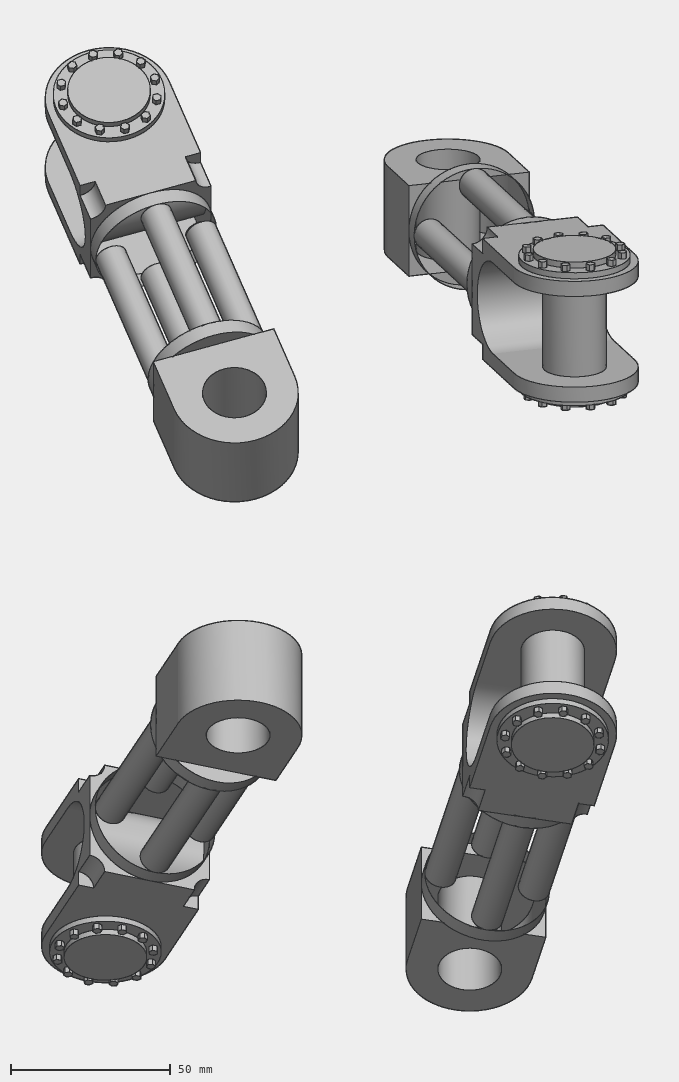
import cadquery as cq

length = 160.0
width = 40.0
module = width / 8
end_radius = width / 2

leg_thickness = module
slot_height = width - 2 * leg_thickness
slot_radius = slot_height / 2
slot_arc_x = width
clevis_end = 1.5 * width
notch_radius = module
notch_length = 2 * module

pin_x = end_radius
pin_diameter = width / 2
total_height = 48.0
cap_height = (total_height - width) / 4
cap_diameter = 7 * module
boss_diameter = 26.0
boss_height = cap_height
bolt_count = 12
bolt_circle_radius = (cap_diameter + boss_diameter) / 4
bolt_sides = 6
bolt_flats_width = 2.5

flange_thickness = module
far_flange_end = 0.75 * length
rod_count = 4
rod_diameter = 2 * module
rod_circle_radius = end_radius - rod_diameter / 2

eye_height = slot_height
eye_x = length - end_radius
eye_hole_diameter = width / 2


def block(x_start, x_end, height):
    """Full-width block along X, centred on the X axis."""
    return cq.Workplane("XY").box(
        x_end - x_start, width, height, centered=(False, True, True)
    ).translate((x_start, 0, 0))


def upright_cylinder(x, diameter, height):
    """Vertical cylinder centred on the XY plane."""
    return cq.Workplane("XY").center(x, 0).circle(diameter / 2).extrude(height / 2, both=True)


def axial_plane(x):
    """Plane across the X axis, facing +X."""
    return cq.Workplane("YZ", origin=(x, 0, 0))


def make_clevis():
    """Fork with rounded leg ends and notched rear corners."""
    body = block(pin_x, clevis_end, width).union(upright_cylinder(pin_x, width, width))
    slot = block(0, slot_arc_x, slot_height)
    slot_bottom = (
        cq.Workplane("XZ").center(slot_arc_x, 0).circle(slot_radius).extrude(end_radius, both=True)
    )
    notches = (
        axial_plane(clevis_end - notch_length)
        .rect(width, width, forConstruction=True)
        .vertices()
        .circle(notch_radius)
        .extrude(notch_length)
    )
    return body.cut(slot).cut(slot_bottom).cut(notches)


def make_pin():
    """Plain pin reaching into both legs of the clevis."""
    return upright_cylinder(pin_x, pin_diameter, width)


def make_top_cap():
    """Disc with a raised boss, ringed by hexagonal bolt heads."""
    cap_base = width / 2
    cap = cq.Workplane("XY", origin=(pin_x, 0, cap_base)).circle(cap_diameter / 2).extrude(cap_height)
    raised = cq.Workplane("XY", origin=(pin_x, 0, cap_base + cap_height))
    boss = raised.circle(boss_diameter / 2).extrude(boss_height)
    first_bolt = (
        raised.moveTo(bolt_circle_radius, 0)
        .polygon(bolt_sides, bolt_flats_width, circumscribed=True)
        .extrude(boss_height)
    )
    cap = cap.union(boss)
    for index in range(bolt_count):
        angle = index * 360 / bolt_count
        cap = cap.union(first_bolt.rotate((pin_x, 0, 0), (pin_x, 0, 1), angle))
    return cap


def make_tie_section():
    """Two round flanges joined by a cross of four rods."""
    near_flange = axial_plane(clevis_end).circle(end_radius).extrude(flange_thickness)
    far_flange = axial_plane(far_flange_end - flange_thickness).circle(end_radius).extrude(flange_thickness)
    rods = (
        axial_plane(clevis_end)
        .polarArray(rod_circle_radius, 0, 360, rod_count)
        .circle(rod_diameter / 2)
        .extrude(far_flange_end - clevis_end)
    )
    return near_flange.union(far_flange).union(rods)


def make_eye():
    """Round-ended lug with a vertical hole."""
    body = block(far_flange_end, eye_x, eye_height).union(upright_cylinder(eye_x, width, eye_height))
    return body.cut(upright_cylinder(eye_x, eye_hole_diameter, eye_height))


top_cap = make_top_cap()
result = (
    make_clevis()
    .union(make_pin())
    .union(top_cap)
    .union(top_cap.mirror("XY"))
    .union(make_tie_section())
    .union(make_eye())
)